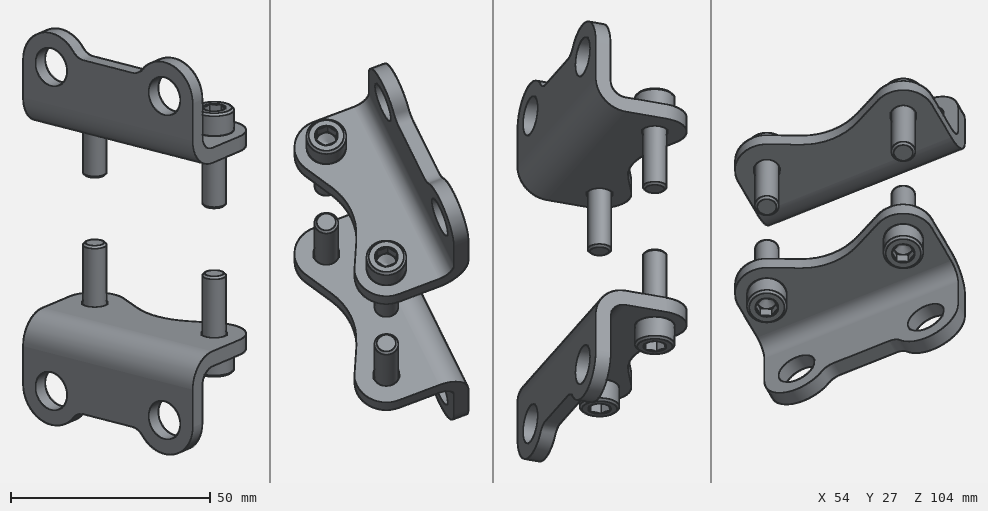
import cadquery as cq
import math

width = 54.0
thickness = 4.0
bend_outer_radius = 8.0
bend_inner_radius = bend_outer_radius - thickness
leg_length = 27.0

lug_radius = 9.0
lug_x = width / 2 - lug_radius
lug_height = leg_length - lug_radius
lug_hole_diameter = 10.0
low_edge_height = 22.0
lug_fillet_radius = 4.0

corner_radius = 8.0
screw_x = width / 2 - corner_radius
screw_y = leg_length - corner_radius
clearance_diameter = 6.6
valley_radius = 17.5
valley_floor_y = 20.5

shank_diameter = 6.0
shank_length = 20.0
tip_chamfer = 0.6
head_diameter = 10.0
head_height = 6.0
head_chamfer = 0.6
head_underside_chamfer = 0.2
socket_across_flats = 5.0
socket_across_corners = socket_across_flats / math.cos(math.pi / 6)
socket_depth = 3.0
socket_turn = 30.0
socket_cone_angle = 120.0

overall_height = 104.0
bracket_base_z = overall_height / 2 - leg_length

through_margin = 1.0


def bent_plate():
    """L profile in the YZ plane, extruded over the full width."""
    profile = (
        cq.Workplane("YZ")
        .moveTo(leg_length, 0)
        .lineTo(bend_outer_radius, 0)
        .radiusArc((0, bend_outer_radius), bend_outer_radius)
        .lineTo(0, leg_length)
        .lineTo(thickness, leg_length)
        .lineTo(thickness, bend_outer_radius)
        .radiusArc((bend_outer_radius, thickness), -bend_inner_radius)
        .lineTo(leg_length, thickness)
        .close()
    )
    return profile.extrude(width / 2, both=True)


def upright_outline():
    """Upright leg in the XZ plane, as a prism over the depth of the plate."""
    fillet_z = low_edge_height + lug_fillet_radius
    centre_distance = lug_radius + lug_fillet_radius
    rise = fillet_z - lug_height
    run = math.sqrt(centre_distance**2 - rise**2)
    fillet_x = lug_x - run
    touch_x = lug_x - run * lug_radius / centre_distance
    touch_z = lug_height + rise * lug_radius / centre_distance
    side = width / 2
    outline = (
        cq.Workplane("XZ")
        .moveTo(-side, 0)
        .lineTo(side, 0)
        .lineTo(side, lug_height)
        .threePointArc((lug_x, leg_length), (touch_x, touch_z))
        .radiusArc((fillet_x, low_edge_height), lug_fillet_radius)
        .lineTo(-fillet_x, low_edge_height)
        .radiusArc((-touch_x, touch_z), lug_fillet_radius)
        .threePointArc((-lug_x, leg_length), (-side, lug_height))
        .close()
    )
    return outline.extrude(-leg_length)


def flat_outline():
    """Flat leg in the XY plane, as a prism over the height of the bracket."""
    valley_y = valley_floor_y + valley_radius
    centre_rise = valley_y - screw_y
    centre_distance = math.hypot(screw_x, centre_rise)
    flank = math.asin((corner_radius + valley_radius) / centre_distance)
    flank -= math.atan2(centre_rise, screw_x)
    corner_touch_x = screw_x - corner_radius * math.sin(flank)
    corner_touch_y = screw_y + corner_radius * math.cos(flank)
    valley_touch_x = valley_radius * math.sin(flank)
    valley_touch_y = valley_y - valley_radius * math.cos(flank)
    side = width / 2
    outline = (
        cq.Workplane("XY")
        .moveTo(-side, 0)
        .lineTo(side, 0)
        .lineTo(side, screw_y)
        .threePointArc((screw_x, leg_length), (corner_touch_x, corner_touch_y))
        .lineTo(valley_touch_x, valley_touch_y)
        .threePointArc((0, valley_floor_y), (-valley_touch_x, valley_touch_y))
        .lineTo(-corner_touch_x, corner_touch_y)
        .threePointArc((-screw_x, leg_length), (-side, screw_y))
        .close()
    )
    return outline.extrude(leg_length)


def make_bracket():
    """Bent plate trimmed to both outlines and drilled; its bend corner lies on the X axis."""
    lug_holes = (
        cq.Workplane("XZ", origin=(0, -through_margin, 0))
        .pushPoints([(-lug_x, lug_height), (lug_x, lug_height)])
        .circle(lug_hole_diameter / 2)
        .extrude(-(thickness + 2 * through_margin))
    )
    screw_holes = (
        cq.Workplane("XY", origin=(0, 0, -through_margin))
        .pushPoints([(-screw_x, screw_y), (screw_x, screw_y)])
        .circle(clearance_diameter / 2)
        .extrude(thickness + 2 * through_margin)
    )
    plate = bent_plate().intersect(upright_outline()).intersect(flat_outline())
    return plate.cut(lug_holes).cut(screw_holes)


def make_cone(radius, base_z):
    """Cone on the Z axis that narrows downward from its base to a point."""
    depth = radius / math.tan(math.radians(socket_cone_angle / 2))
    return (
        cq.Workplane("XZ")
        .moveTo(0, base_z)
        .lineTo(radius, base_z)
        .lineTo(0, base_z - depth)
        .close()
        .revolve(360, (0, 0, 0), (0, 1, 0))
    )


def make_screw():
    """Cap screw along Z: head seat at Z = 0, head above, shank below."""
    head = (
        cq.Workplane("XY")
        .circle(head_diameter / 2)
        .extrude(head_height)
        .faces(">Z")
        .chamfer(head_chamfer)
        .faces("<Z")
        .chamfer(head_underside_chamfer)
    )
    shank = (
        cq.Workplane("XY")
        .circle(shank_diameter / 2)
        .extrude(-shank_length)
        .faces("<Z")
        .chamfer(tip_chamfer)
    )
    socket_floor = head_height - socket_depth
    socket = (
        cq.Workplane("XY", origin=(0, 0, socket_floor))
        .transformed(rotate=(0, 0, socket_turn))
        .polygon(6, socket_across_corners)
        .extrude(socket_depth)
    )
    drill_point = make_cone(socket_across_flats / 2, socket_floor)
    countersink = make_cone(socket_across_corners / 2, head_height)
    return head.union(shank).cut(socket).cut(drill_point).cut(countersink)


upper_bracket = make_bracket().translate((0, 0, bracket_base_z))
upper_screws = [
    make_screw().translate((x, screw_y, bracket_base_z + thickness))
    for x in (-screw_x, screw_x)
]
upper_bodies = [upper_bracket, *upper_screws]
lower_bodies = [body.mirror("XY") for body in upper_bodies]

result = cq.Compound.makeCompound([body.val() for body in upper_bodies + lower_bodies])